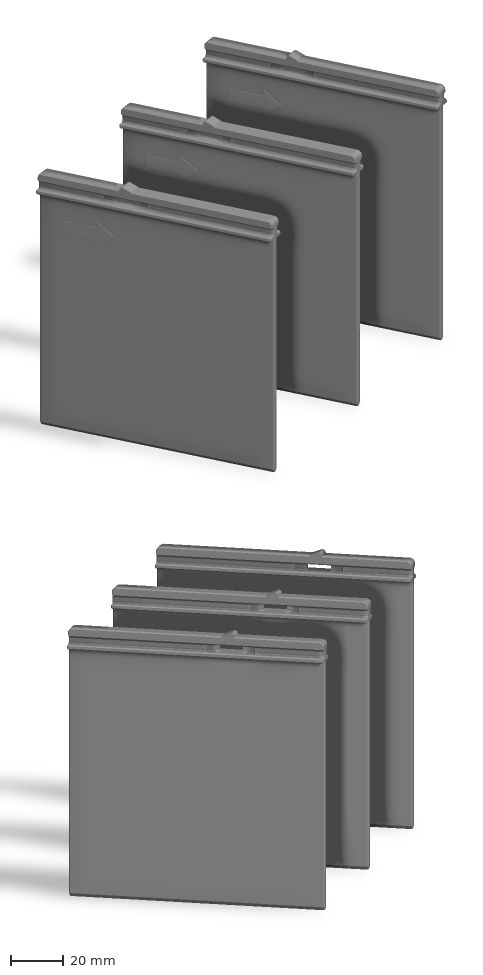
import cadquery as cq
import math

WIDTH = 101.0
COPIES = 3
PITCH = 70.0

TOTAL_HEIGHT = 107.5
BUMP_HEIGHT = 1.3
HEAD_HEIGHT = 3.6
NECK_HEIGHT = 2.8
FLANGE_HEIGHT = 2.0
HEAD_TOP = TOTAL_HEIGHT - BUMP_HEIGHT
HEAD_BOTTOM = HEAD_TOP - HEAD_HEIGHT
FLANGE_TOP = HEAD_BOTTOM - NECK_HEIGHT
FLANGE_BOTTOM = FLANGE_TOP - FLANGE_HEIGHT

FLANGE_DEPTH = 9.0
HEAD_DEPTH = 6.1
NECK_DEPTH = 3.6
PANEL_DEPTH = 2.5

EDGE_CHAMFER = 0.5
NECK_FLARE = 0.5
HEAD_END_RADIUS = 2.0
TIP_HEIGHT = 1.3
TIP_INSET = 0.9

BUMP_START = -15.2
BUMP_LENGTH = 4.9

WINDOW_CENTER = -13.4
WINDOW_WIDTH = 9.5
RECESS_WIDTH = 19.4
RECESS_DEPTH = 0.9

ARROW_START = -40.4
ARROW_LENGTH = 22.4
ARROW_HEAD_LENGTH = 7.5
ARROW_SHAFT_WIDTH = 5.0
ARROW_HEAD_WIDTH = 10.1
ARROW_CENTER_Z = 85.0
ARROW_RELIEF = 0.22


def block(width, depth, bottom, top):
    """Box centred on X and Y that spans bottom to top along Z."""
    base = cq.Workplane("XY", origin=(0, 0, bottom))
    return base.box(width, depth, top - bottom, centered=(True, True, False))


def make_rail():
    """Panel, flange, neck and head as one cross-section extruded along X."""
    panel = PANEL_DEPTH / 2
    flange = FLANGE_DEPTH / 2
    neck = NECK_DEPTH / 2
    head = HEAD_DEPTH / 2
    bevel = EDGE_CHAMFER
    back_side = [
        (panel - TIP_INSET, 0),
        (panel, TIP_HEIGHT),
        (panel, FLANGE_BOTTOM),
        (flange - bevel, FLANGE_BOTTOM),
        (flange, FLANGE_BOTTOM + bevel),
        (flange, FLANGE_TOP - bevel),
        (flange - bevel, FLANGE_TOP),
        (neck + NECK_FLARE, FLANGE_TOP),
        (neck, FLANGE_TOP + NECK_FLARE),
        (neck, HEAD_BOTTOM - NECK_FLARE),
        (neck + NECK_FLARE, HEAD_BOTTOM),
        (head - bevel, HEAD_BOTTOM),
        (head, HEAD_BOTTOM + bevel),
        (head, HEAD_TOP),
    ]
    front_side = [(-y, z) for y, z in reversed(back_side)]
    rail = cq.Workplane("YZ").polyline(back_side + front_side).close().extrude(WIDTH / 2, both=True)
    rail = rail.edges(">Z and |Y").fillet(HEAD_END_RADIUS)
    return bevel_ends(rail)


def bevel_ends(rail):
    """Bevel both end outlines; the bevel runs on over the rounded ends along the top of the head."""
    rounding_start = HEAD_TOP - HEAD_END_RADIUS
    below_rounding = cq.selectors.BoxSelector(
        (-WIDTH, -FLANGE_DEPTH, -TIP_HEIGHT), (WIDTH, FLANGE_DEPTH, rounding_start - EDGE_CHAMFER)
    )
    return rail.faces("<X or >X").edges(below_rounding).chamfer(EDGE_CHAMFER)


def cut_window(rail):
    """Open the neck right through, and thin it on both faces around the opening."""
    flared_half = NECK_DEPTH / 2 + NECK_FLARE
    web_half = NECK_DEPTH / 2 - RECESS_DEPTH
    window = block(WINDOW_WIDTH, 2 * flared_half, FLANGE_TOP, HEAD_BOTTOM)
    window = window.edges("|Y").chamfer(NECK_FLARE)
    recess_depth = flared_half - web_half
    recess_y = web_half + recess_depth / 2
    back_recess = block(RECESS_WIDTH, recess_depth, FLANGE_TOP, HEAD_BOTTOM).translate((0, recess_y, 0))
    back_recess = back_recess.faces("<Y").edges().chamfer(NECK_FLARE)
    front_recess = back_recess.mirror("XZ")
    for cutter in (window, back_recess, front_recess):
        rail = rail.cut(cutter.translate((WINDOW_CENTER, 0, 0)))
    return rail


def make_bump():
    """Bump as deep as the head; its base reaches down to fill the bevel along the head."""
    crest = BUMP_START + BUMP_HEIGHT
    bump_end = BUMP_START + BUMP_LENGTH
    base = HEAD_TOP - EDGE_CHAMFER
    arc_offset = BUMP_HEIGHT * (1 - math.sqrt(0.5))
    return (
        cq.Workplane("XZ", origin=(0, HEAD_DEPTH / 2, 0))
        .moveTo(BUMP_START, base)
        .lineTo(BUMP_START, HEAD_TOP)
        .threePointArc((BUMP_START + arc_offset, TOTAL_HEIGHT - arc_offset), (crest, TOTAL_HEIGHT))
        .lineTo(bump_end, HEAD_TOP)
        .lineTo(bump_end, base)
        .close()
        .extrude(HEAD_DEPTH)
    )


def make_arrow():
    barb_x = ARROW_LENGTH - ARROW_HEAD_LENGTH
    shaft = ARROW_SHAFT_WIDTH / 2
    barb = ARROW_HEAD_WIDTH / 2
    outline = [
        (0, -shaft),
        (barb_x, -shaft),
        (barb_x, -barb),
        (ARROW_LENGTH, 0),
        (barb_x, barb),
        (barb_x, shaft),
        (0, shaft),
    ]
    return (
        cq.Workplane("XZ", origin=(ARROW_START, -PANEL_DEPTH / 2, ARROW_CENTER_Z))
        .polyline(outline)
        .close()
        .extrude(ARROW_RELIEF)
    )


def make_slide():
    return cut_window(make_rail()).union(make_bump()).union(make_arrow())


slides = []
for index in range(COPIES):
    offset = (index - (COPIES - 1) / 2) * PITCH
    slides.append(make_slide().translate((0, offset, 0)).val())

result = cq.Compound.makeCompound(slides)